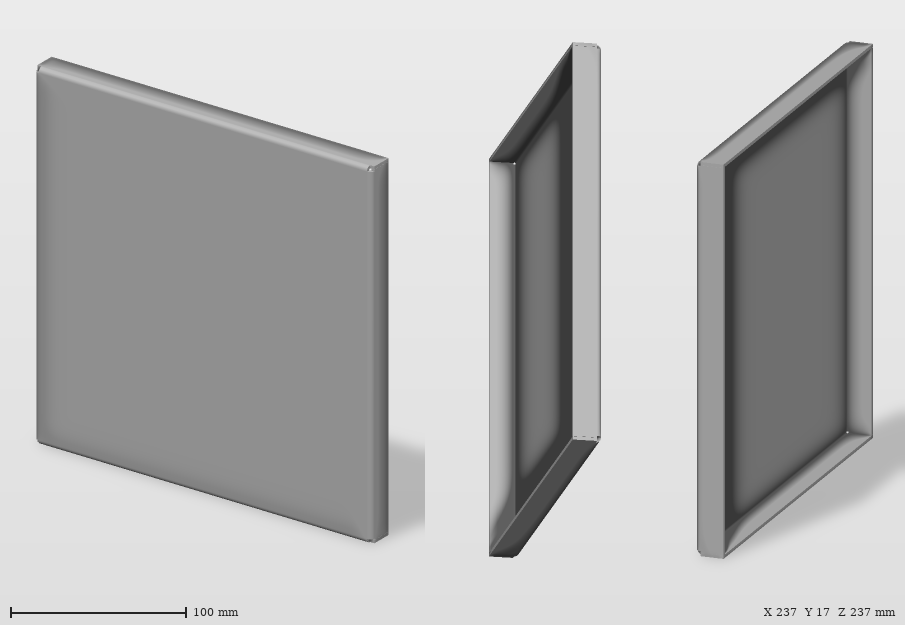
import cadquery as cq

side = 237.0
depth = 17.0
sheet = 2.0
rim_gap = 0.1
inside_radius = 1.0
bend_radius = sheet + inside_radius

inner_side = side - 2 * (sheet + rim_gap)
face_side = side - 2 * bend_radius
rim_depth = depth - bend_radius


def front_shell():
    """Front face, with a quarter-round bend along each of its four sides."""
    face = cq.Workplane("XY").box(face_side, sheet, face_side, centered=(True, False, True))
    bend = (
        cq.Workplane("XY")
        .center(face_side / 2, bend_radius)
        .circle(bend_radius)
        .circle(bend_radius - sheet)
        .extrude(face_side / 2, both=True)
    )
    quarter = (
        cq.Workplane("XY")
        .box(bend_radius, bend_radius, face_side, centered=(False, False, True))
        .translate((face_side / 2, 0, 0))
    )
    bend = bend.intersect(quarter)
    for angle in (0, 90, 180, 270):
        face = face.union(bend.rotate((0, 0, 0), (0, 1, 0), angle))
    return face


def rim(width, height, x, z):
    """Flat rim behind the bends, centred at x and z."""
    wall = cq.Workplane("XY").box(width, rim_depth, height, centered=(True, False, True))
    return wall.translate((x, bend_radius, z))


result = front_shell()
rim_offset = (side - sheet) / 2
for direction in (-1, 1):
    result = result.union(rim(side, sheet, 0, direction * rim_offset))
    result = result.union(rim(sheet, inner_side, direction * rim_offset, 0))

result = result.translate((0, -depth / 2, 0))